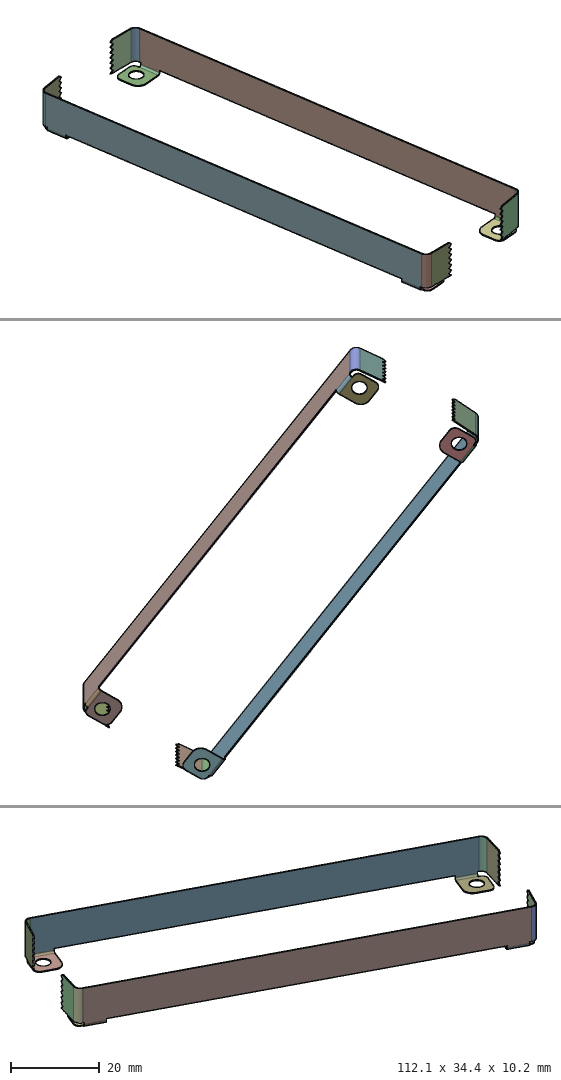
import cadquery as cq
import math

length = 112.1
width = 34.4
height = 10.2
sheet = 0.3

wall_height = 9.0
corner_radius = 1.7
flare_angle = 4.7
end_reach = 8.2
tooth_count = 7
tooth_row_height = 8.4
tooth_depth = 0.8

hole_spacing_x = 104.1
hole_spacing_y = 27.0
hole_diameter = 3.5
tab_width = 7.2
tab_inner_to_hole = 3.9
tab_tip_y = 9.8
leg_width = 5.4
fold_radius = 0.8
outer_corner_radius = 1.3
tip_corner_radius = 1.6
inner_corner_radius = 2.4

half_length = length / 2
outer_y = width / 2
wall_bottom = height - wall_height
tip_y = outer_y - end_reach
hole_x = hole_spacing_x / 2
hole_y = hole_spacing_y / 2
tab_inner_x = hole_x - tab_inner_to_hole
fold_y = outer_y - fold_radius

flare = math.radians(flare_angle)
bend_center_y = outer_y - corner_radius
bend_end_y = bend_center_y + corner_radius * math.sin(flare)
flare_run = (bend_end_y - tip_y) * math.tan(flare)
bend_center_x = half_length - flare_run - corner_radius * math.cos(flare)


def bend_point(radius, angle):
    """Point on the corner bend, with the angle measured from +X."""
    return (bend_center_x + radius * math.cos(angle), bend_center_y + radius * math.sin(angle))


def make_half_wall():
    """Wall from the middle of the part round the +X corner, with a toothed end."""
    inner_radius = corner_radius - sheet
    mid_angle = (flare + math.pi / 2) / 2
    tip_inner_x = half_length - sheet / math.cos(flare)
    wall = (
        cq.Workplane("XY", origin=(0, 0, wall_bottom))
        .moveTo(0, outer_y)
        .lineTo(bend_center_x, outer_y)
        .threePointArc(bend_point(corner_radius, mid_angle), bend_point(corner_radius, flare))
        .lineTo(half_length, tip_y)
        .lineTo(tip_inner_x, tip_y)
        .lineTo(*bend_point(inner_radius, flare))
        .threePointArc(bend_point(inner_radius, mid_angle), (bend_center_x, outer_y - sheet))
        .lineTo(0, outer_y - sheet)
        .close()
        .extrude(wall_height)
    )
    return wall.cut(make_tooth_gaps())


def make_tooth_gaps():
    """V notches along the end edge; the lowest tooth is a half tooth on the bottom edge."""
    pitch = tooth_row_height / (tooth_count - 1)
    gaps = cq.Workplane("YZ", origin=(bend_center_x, 0, 0))
    for i in range(tooth_count):
        gap_bottom = wall_bottom + i * pitch
        gaps = (
            gaps.moveTo(tip_y, gap_bottom)
            .lineTo(tip_y + tooth_depth, gap_bottom + pitch / 2)
            .lineTo(tip_y, gap_bottom + pitch)
            .close()
        )
    return gaps.extrude(half_length)


def make_leg():
    """Narrow strip that drops from the wall and folds inward to the plate."""
    inner_radius = fold_radius - sheet
    diagonal = math.sqrt(0.5)
    return (
        cq.Workplane("YZ", origin=(tab_inner_x, 0, 0))
        .moveTo(outer_y, wall_bottom)
        .lineTo(outer_y, fold_radius)
        .threePointArc(
            (fold_y + fold_radius * diagonal, fold_radius - fold_radius * diagonal), (fold_y, 0)
        )
        .lineTo(fold_y, sheet)
        .threePointArc(
            (fold_y + inner_radius * diagonal, fold_radius - inner_radius * diagonal),
            (outer_y - sheet, fold_radius),
        )
        .lineTo(outer_y - sheet, wall_bottom)
        .close()
        .extrude(leg_width)
    )


def make_plate():
    """Flat plate with rounded corners and a screw hole."""
    plate = cq.Workplane("XY").box(tab_width, fold_y - tab_tip_y, sheet, centered=False)
    plate = plate.translate((tab_inner_x, tab_tip_y, 0))
    plate = plate.edges("|Z and >X and >Y").fillet(outer_corner_radius)
    plate = plate.edges("|Z and >X and <Y").fillet(tip_corner_radius)
    plate = plate.edges("|Z and <X and <Y").fillet(inner_corner_radius)
    hole = cq.Workplane("XY").center(hole_x, hole_y).circle(hole_diameter / 2).extrude(sheet)
    return plate.cut(hole)


def make_bracket():
    """Complete bracket on the +Y side, mirrored end to end about X = 0."""
    half = make_half_wall().union(make_leg()).union(make_plate())
    return half.union(half.mirror("YZ"))


bracket = make_bracket()
brackets = []
for body in (bracket, bracket.mirror("XZ")):
    brackets.append(body.val())

result = cq.Compound.makeCompound(brackets)